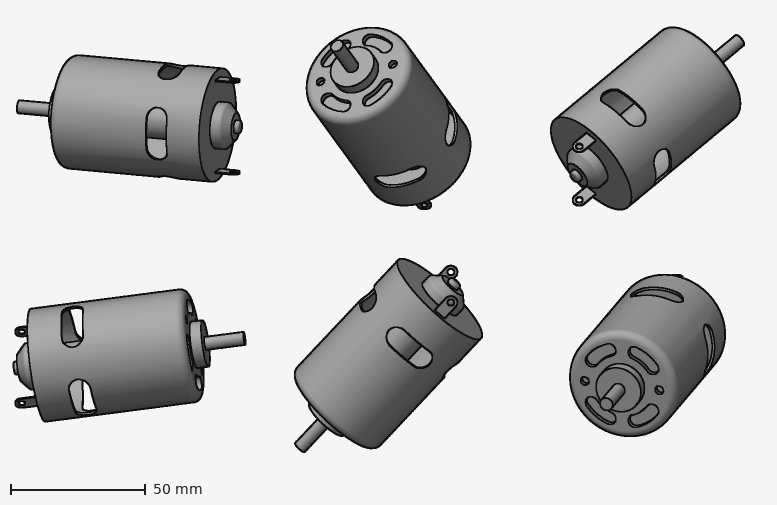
import cadquery as cq
import math

hub_front = 14.7
can_front = 19.0
can_rear = 77.95
overall_length = 87.0

can_diameter = 42.4
bore_diameter = 40.4
front_opening_depth = 2.0
wall = (can_diameter - bore_diameter) / 2
front_edge_radius = 3.0
end_cap_thickness = 2.5
front_wall_thickness = front_opening_depth + wall

shaft_diameter = 5.0
shaft_end_radius = 0.8
armature_diameter = 14.0
hub_diameter = 17.5
housing_length = 7.1
housing_cone_length = 3.3
housing_nose_diameter = 10.35
housing_edge_radius = 1.05

window_center = 61.1
window_width = 8.1
window_length = 20.1

pitch_radius = 14.5
vent_width = 5.0
vent_middle_angle = 53.0
vent_half_span = 17.2
screw_hole_diameter = 3.2

terminal_height = 17.7
terminal_thickness = 0.5
terminal_width = 5.0
terminal_hole_diameter = 2.5
terminal_hole_position = 84.1


def cylinder(diameter, start, end):
    """Cylinder on the motor axis between two X positions."""
    return cq.Workplane("YZ", origin=(start, 0, 0)).circle(diameter / 2).extrude(end - start)


def polar(radius, angle):
    """Point in the YZ plane at an angle in degrees."""
    return radius * math.cos(math.radians(angle)), radius * math.sin(math.radians(angle))


def vent(middle_angle):
    """Curved blind slot in the front wall, with round ends."""
    first = middle_angle - vent_half_span
    last = middle_angle + vent_half_span
    inner = pitch_radius - vent_width / 2
    outer = pitch_radius + vent_width / 2
    ends = [polar(pitch_radius, angle) for angle in (first, last)]
    plane = cq.Workplane("YZ", origin=(can_front, 0, 0))
    band = (
        plane.moveTo(*polar(inner, first))
        .threePointArc(polar(inner, middle_angle), polar(inner, last))
        .lineTo(*polar(outer, last))
        .threePointArc(polar(outer, middle_angle), polar(outer, first))
        .close()
        .extrude(front_opening_depth)
    )
    return band.union(plane.pushPoints(ends).circle(vent_width / 2).extrude(front_opening_depth))


def can():
    """Hollow can with a rounded front edge, vents, screw holes and side windows."""
    body = cylinder(can_diameter, can_front, can_rear).faces("<X").edges().fillet(front_edge_radius)
    cavity = cylinder(bore_diameter, can_front + front_wall_thickness, can_rear - end_cap_thickness)
    body = body.cut(cavity)
    for angle in (vent_middle_angle, 180 - vent_middle_angle):
        body = body.cut(vent(angle)).cut(vent(-angle))
    screw_holes = (
        cq.Workplane("YZ", origin=(can_front, 0, 0))
        .pushPoints([(pitch_radius, 0), (-pitch_radius, 0)])
        .circle(screw_hole_diameter / 2)
        .extrude(front_opening_depth)
    )
    body = body.cut(screw_holes)
    window_z = (
        cq.Workplane("XY")
        .center(window_center, 0)
        .slot2D(window_length, window_width, 90)
        .extrude(can_diameter, both=True)
    )
    window_y = window_z.rotate((0, 0, 0), (1, 0, 0), 90)
    return body.cut(window_z).cut(window_y)


def rear_housing():
    """Rear bearing housing with a conical nose."""
    rear = can_rear + housing_length
    radial_step = (hub_diameter - housing_nose_diameter) / 2
    housing = cylinder(hub_diameter, can_rear, rear)
    housing = housing.faces(">X").edges().chamfer(housing_cone_length, radial_step)
    return housing.faces("%CYLINDER").edges(">X").fillet(housing_edge_radius)


def terminal(height):
    """Flat solder tab with a round end and a hole."""
    start = can_rear - end_cap_thickness / 2
    length = terminal_hole_position - start
    plane = cq.Workplane("XY", origin=(terminal_hole_position, 0, height - terminal_thickness / 2))
    tab = plane.center(-length / 2, 0).rect(length, terminal_width).extrude(terminal_thickness)
    tab = tab.union(plane.circle(terminal_width / 2).extrude(terminal_thickness))
    return tab.cut(plane.circle(terminal_hole_diameter / 2).extrude(terminal_thickness))


shaft = cylinder(shaft_diameter, 0, overall_length).faces(">X").edges().fillet(shaft_end_radius)
result = (
    can()
    .union(cylinder(armature_diameter, can_front, can_rear))
    .union(cylinder(hub_diameter, hub_front, can_front))
    .union(rear_housing())
    .union(shaft)
    .union(terminal(terminal_height))
    .union(terminal(-terminal_height))
)